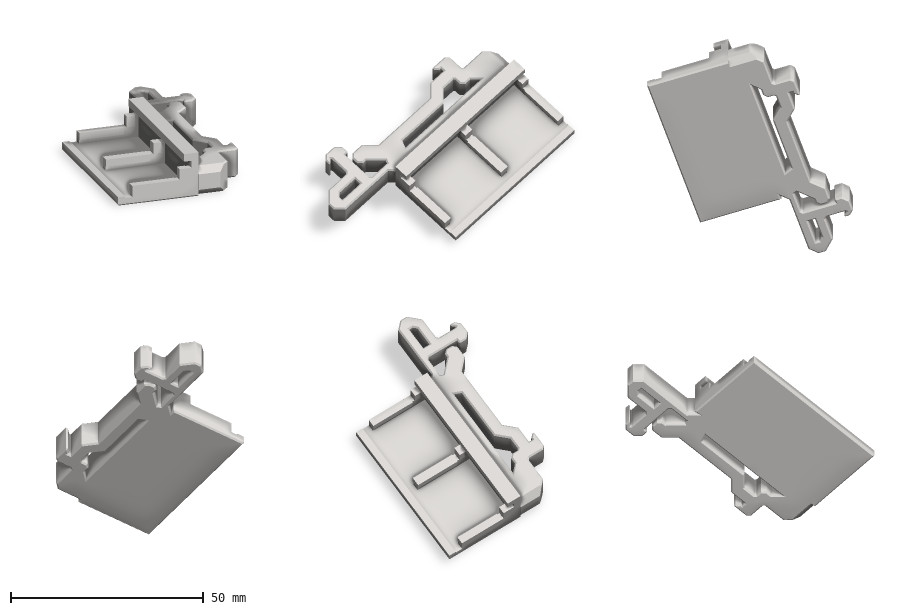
import cadquery as cq
import math

total_length = 62.0
clip_height = 7.9
edge_chamfer = 0.4
end_chamfer = 1.8

tray_right = 61.8
tray_width = 43.35
tray_left = tray_right - tray_width
tray_depth = 22.2
tray_height = 12.15
floor_top = 2.05
lip_top = 2.45
lip_depth = 2.0
wall_thickness = 1.95
hook_depth = 4.0
hook_underside = 10.05

rib_top = 5.15
rib_front = 18.25
block_top = 8.1
block_front = 5.25
middle_rib_width = 2.5
side_rib_width = 2.15
pad_thickness = 0.25
rib_pad_gap = 0.75
rib_pad_bottom = 3.2
block_pad_back = 3.0

arm_bottom = 1.95
arm_top = 8.95
arm_nose_low = 4.0
arm_nose_high = 6.0
slot_floor = 3.65
back_edge = 8.95
step_top = 12.0
catch_top = 14.6
catch_underside = 13.0
latch_top = 16.65
latch_step = 13.0
latch_tip = 14.0

stem_left = 9.75
stem_right = 13.0
latch_left = 8.2
latch_right = 14.1
latch_tip_width = 0.45
slot_end = 19.0
finger_left = 13.6
catch_left = 46.45
catch_neck = 47.95
catch_right = 51.85
corner_bevel = 0.5
finger_bevel = 1.0
nose_bevel = 3.0
steep_slope = math.tan(math.radians(67.5))


def clip_outline():
    """Corners of the clip, clockwise from the nose of the spring arm."""
    arm_nose = [
        (arm_nose_low - arm_bottom, arm_bottom),
        (0, arm_nose_low),
        (0, arm_nose_high),
        (arm_top - arm_nose_high, arm_top),
    ]
    notch_top = 14.9
    notch_x = latch_left + latch_tip_width + notch_top - latch_tip
    latch_left_bevel = 1.3
    latch_right_bevel = 1.55
    latch_heel = 0.3
    latch = [
        (stem_left - corner_bevel, arm_top),
        (stem_left, arm_top + corner_bevel),
        (stem_left, notch_top - (stem_left - notch_x)),
        (notch_x, notch_top),
        (latch_left, latch_tip - latch_tip_width),
        (latch_left, latch_top - latch_left_bevel),
        (latch_left + latch_left_bevel, latch_top),
        (latch_right - latch_right_bevel, latch_top),
        (latch_right, latch_top - latch_right_bevel),
        (latch_right, latch_step + latch_heel),
        (latch_right - latch_heel, latch_step),
        (stem_right, latch_step),
    ]
    slot_end_rise = 0.85
    slot_tip_x = slot_end + slot_end_rise / steep_slope
    slot_tip_y = slot_floor + slot_end_rise
    finger_bottom = 8.15
    finger = [
        (stem_right, slot_floor + corner_bevel),
        (stem_right + corner_bevel, slot_floor),
        (slot_end, slot_floor),
        (slot_tip_x, slot_tip_y),
        (slot_tip_x - (finger_bottom - slot_tip_y), finger_bottom),
        (finger_left + finger_bevel, finger_bottom),
        (finger_left, finger_bottom + finger_bevel),
        (finger_left, step_top - finger_bevel),
        (finger_left + finger_bevel, step_top),
    ]
    finger_slope_top = 18.1
    step_left = 43.0
    catch_lip = 0.6
    catch_bevel = 0.9
    catch_slope = catch_top - catch_lip - catch_underside
    back = [
        (finger_slope_top, step_top),
        (finger_slope_top + step_top - back_edge, back_edge),
        (step_left - (step_top - back_edge), back_edge),
        (step_left, step_top),
        (catch_neck, step_top),
        (catch_neck, catch_underside),
        (catch_left + catch_slope, catch_underside),
        (catch_left, catch_top - catch_lip),
        (catch_left, catch_top),
        (catch_right - catch_bevel, catch_top),
        (catch_right, catch_top - catch_bevel),
        (catch_right, back_edge + corner_bevel),
        (catch_right + corner_bevel, back_edge),
    ]
    root_left = 17.6
    root = [
        (total_length - nose_bevel, back_edge),
        (total_length, back_edge - nose_bevel),
        (total_length, 0),
        (tray_right, 0),
        (tray_right, -wall_thickness),
        (root_left + arm_bottom + wall_thickness, -wall_thickness),
        (root_left, arm_bottom),
    ]
    return arm_nose + latch + finger + back + root


def arm_window():
    left, right = 3.5, 10.0
    bottom, top = 4.45, 6.4
    bevel = 0.9
    return [(left, bottom), (left, top - bevel), (left + bevel, top), (right, top), (right, bottom)]


def body_window():
    bottom, shelf, top = 3.5, 5.45, 8.5
    left = 25.6
    peak_left = 44.5
    neck = 48.4
    neck_bevel = 0.4
    shelf_bevel = 1.0
    right = 53.1
    return [
        (left, bottom),
        (left + (shelf - bottom) / steep_slope, shelf),
        (peak_left - (top - shelf), shelf),
        (peak_left, top),
        (neck - neck_bevel, top),
        (neck, top - neck_bevel),
        (neck, shelf + shelf_bevel),
        (neck + shelf_bevel, shelf),
        (right - (shelf - bottom), shelf),
        (right, bottom),
    ]


def inset(corners, distance):
    """Moves every side of a clockwise outline inward by the distance, keeping sharp corners."""
    normals = []
    for (x1, y1), (x2, y2) in zip(corners, corners[1:] + corners[:1]):
        length = math.hypot(x2 - x1, y2 - y1)
        normals.append(((y2 - y1) / length, (x1 - x2) / length))
    moved = []
    for index, (x, y) in enumerate(corners):
        before, after = normals[index - 1], normals[index]
        reach = distance / (1 + before[0] * after[0] + before[1] * after[1])
        moved.append((x + reach * (before[0] + after[0]), y + reach * (before[1] + after[1])))
    return moved


def flat_face(points):
    return cq.Face.makeFromWires(cq.Wire.makePolygon(points, close=True))


def bevelled_prism(corners, rim_inset):
    """A prism of clip height whose top and bottom rims are inset over the chamfer height."""
    rim = inset(corners, rim_inset)
    levels = (
        (rim, 0),
        (corners, edge_chamfer),
        (corners, clip_height - edge_chamfer),
        (rim, clip_height),
    )
    rings = [[cq.Vector(x, y, z) for x, y in outline] for outline, z in levels]
    faces = [flat_face(rings[0]), flat_face(rings[-1])]
    for lower, upper in zip(rings, rings[1:]):
        for index in range(len(corners)):
            faces.append(flat_face([lower[index - 1], lower[index], upper[index], upper[index - 1]]))
    return cq.Workplane(cq.Solid.makeSolid(cq.Shell.makeShell(faces)))


def latch_tip_cutter():
    """Blunts the pointed latch tip and chamfers the rims of the blunt end."""
    profile = [
        (latch_tip - latch_tip_width, 0),
        (latch_tip + edge_chamfer, 0),
        (latch_tip, edge_chamfer),
        (latch_tip, clip_height - edge_chamfer),
        (latch_tip + edge_chamfer, clip_height),
        (latch_tip - latch_tip_width, clip_height),
    ]
    cutter = cq.Workplane("YZ").workplane(offset=latch_left).polyline(profile).close()
    return cutter.extrude(latch_tip_width + edge_chamfer)


def end_wedges():
    """Triangular cutters for the large chamfers along the right end of the clip."""
    wedges = cq.Workplane("XZ")
    for rim, inward in ((0, 1), (clip_height, -1)):
        wedges = wedges.polyline([
            (total_length - end_chamfer, rim),
            (total_length, rim),
            (total_length, rim + inward * end_chamfer),
        ]).close()
    return wedges.extrude(-back_edge)


def clip():
    body = bevelled_prism(clip_outline(), edge_chamfer).cut(latch_tip_cutter())
    for corners in (arm_window(), body_window()):
        body = body.cut(bevelled_prism(corners, -edge_chamfer))
    return body.cut(end_wedges())


def tray_slab(x_left, x_right, y_back, y_front, z_bottom, z_top):
    """A box given by its faces; y_back and y_front are distances in front of the tray's back face."""
    size = (x_right - x_left, y_front - y_back, z_top - z_bottom)
    return cq.Workplane("XY").box(*size, centered=False).translate((x_left, -y_front, z_bottom))


def tray_shell():
    floor = tray_slab(tray_left, tray_right, 0, tray_depth, 0, floor_top)
    floor = floor.faces("<Z").edges().chamfer(edge_chamfer)
    lip = tray_slab(tray_left, tray_right, tray_depth - lip_depth, tray_depth, floor_top, lip_top)
    wall = tray_slab(tray_left, tray_right, 0, wall_thickness, floor_top, tray_height)
    hook = tray_slab(tray_left, tray_right, 0, hook_depth, hook_underside, tray_height)
    return floor.union(lip).union(wall).union(hook)


def rib(x_left, x_right, core_left, core_right):
    """A stepped rib: a narrow core with wider pads on its high block and its low front part."""
    core = tray_slab(core_left, core_right, wall_thickness, rib_front, floor_top, rib_top)
    core = core.union(tray_slab(core_left, core_right, wall_thickness, block_front, floor_top, block_top))
    block_pad = tray_slab(x_left, x_right, block_pad_back, block_front, rib_top, block_top)
    rib_pad = tray_slab(x_left, x_right, block_front + rib_pad_gap, rib_front, rib_pad_bottom, rib_top)
    return core.union(block_pad).union(rib_pad)


def ribs():
    left_end = tray_left + side_rib_width
    right_end = tray_right - side_rib_width
    middle_left = (tray_left + tray_right - middle_rib_width) / 2
    middle_right = middle_left + middle_rib_width
    left_rib = rib(tray_left, left_end, tray_left, left_end - pad_thickness)
    middle_rib = rib(middle_left, middle_right, middle_left + pad_thickness, middle_right - pad_thickness)
    right_rib = rib(right_end, tray_right, right_end + pad_thickness, tray_right)
    return left_rib.union(middle_rib).union(right_rib)


result = tray_shell().union(ribs()).union(clip())